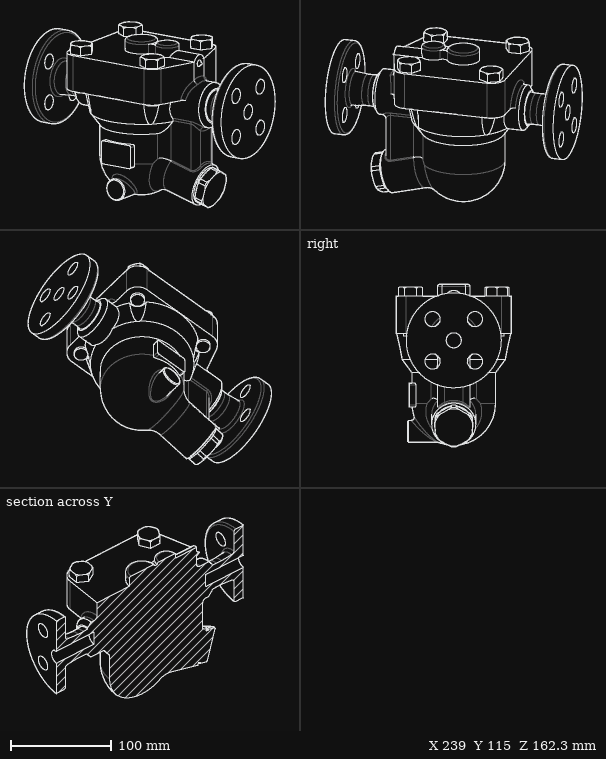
import cadquery as cq
import math


half_root = math.sqrt(0.5)
edge_margin = 0.2

inlet_face_x = -109.5
outlet_face_x = 129.5
flange_diameter = 95.0
flange_thickness = 12.0
flange_edge_radius = 2.2
flange_hole_diameter = 15.0
flange_hole_spacing = 42.3
bore_diameter = 15.0
bore_depth = 47.8
neck_base_radius = 19.5
neck_fillet = 3.3
neck_outer_radius = 17.0
neck_waist_radius = 15.8
neck_inner_radius = 16.3
neck_waist_start = 16.0
neck_waist_end = 22.5
neck_length = 28.0
hub_radius = 23.0
hub_start_radius = 17.7
hub_chamfer_length = 4.3
hub_blend_radius = 4.0

plate_top_z = 44.0
plate_bottom_z = 7.0
plate_width = 115.0
plate_corner_radius = 14.3
bolt_offset = plate_width / 2 - plate_corner_radius
nose_x = 70.0
nose_half_width = 8.8

bolt_flats = 21.0
bolt_head_height = 9.3
bolt_head_chamfer = 1.2
bolt_stub_diameter = 14.0
bolt_stub_length = 2.9
spotface_radius = 9.5

boss_top_z = 56.0
boss_radius = 16.3
small_boss_radius = 12.0
small_boss_x = 31.3
boss_edge_radius = 2.2
boss_web_drop = 2.5
boss_web_fillet = 4.8
ridge_axis_z = 40.9
plug_tip_radius = 3.3
plug_tip_length = 3.8

body_radius = 41.8
rim_radius = 57.1
shoulder_radius = 51.6
shoulder_z = -19.1
shoulder_bottom_z = -32.3
dome_z = -63.0

branch_angle = 15.0
branch_radius = 22.0
branch_length = 80.3
branch_blend_radius = 18.0
cap_neck_radius = 19.1
cap_gap = 2.2
cap_across_flats = 37.3
cap_across_corners = 40.9
cap_thickness = 9.5
cap_chamfer = 1.2

column_half_width = 16.0
column_end_x = 78.0
column_bottom_z = -74.0
column_edge_radius = 6.7
column_body_blend = 14.3
column_hub_blend = 4.3
column_branch_blend = 1.7

drain_z = -90.8
drain_radius = 11.0
drain_face_y = -46.0
drain_chamfer = 1.0
drain_blend = 2.9
pad_width = 35.5
pad_height = 24.0
pad_z = -54.7
pad_face_y = -44.5
pad_corner_radius = 2.0


def cylinder_z(radius, bottom, top, x=0, y=0):
    return cq.Workplane("XY", origin=(x, y, bottom)).circle(radius).extrude(top - bottom)


def pipe_end(face_x, inward):
    """Flange, neck and hub, running from the flange face to the body axis."""
    flange_back = flange_thickness
    hub_start = flange_back + neck_length
    rim = flange_diameter / 2
    arc_step = neck_fillet * (1 - half_root)
    base_drop = (neck_base_radius - neck_outer_radius) * (1 - half_root)
    profile = (
        cq.Workplane("XY")
        .lineTo(0, rim)
        .lineTo(flange_back, rim)
        .lineTo(flange_back, neck_base_radius)
        .threePointArc(
            (flange_back + arc_step, neck_outer_radius + base_drop),
            (flange_back + neck_fillet, neck_outer_radius),
        )
        .lineTo(flange_back + neck_waist_start, neck_waist_radius)
        .lineTo(flange_back + neck_waist_end, neck_waist_radius)
        .lineTo(hub_start, neck_inner_radius)
        .lineTo(hub_start, hub_start_radius)
        .lineTo(hub_start + hub_chamfer_length, hub_radius)
        .lineTo(abs(face_x), hub_radius)
        .lineTo(abs(face_x), 0)
        .close()
    )
    end = profile.revolve(360, (0, 0, 0), (1, 0, 0))
    end = end.edges(cq.selectors.RadiusNthSelector(-1)).edges(">X").fillet(flange_edge_radius)
    holes = (
        cq.Workplane("YZ")
        .rect(flange_hole_spacing, flange_hole_spacing, forConstruction=True)
        .vertices()
        .circle(flange_hole_diameter / 2)
        .extrude(flange_thickness)
    )
    end = end.cut(holes)
    if inward < 0:
        end = end.mirror("YZ")
    return end.translate((face_x, 0, 0))


def pipe_bore(face_x, inward):
    return cq.Workplane("YZ", origin=(face_x, 0, 0)).circle(bore_diameter / 2).extrude(inward * bore_depth)


def plate(bottom_z):
    """Square plate with rounded corners and a tapered nose on the outlet side."""
    radius = plate_corner_radius
    edge = bolt_offset + radius
    diagonal = radius * half_root
    run = nose_x - bolt_offset
    rise = nose_half_width - bolt_offset
    tangent_angle = math.atan2(rise, run) + math.acos(radius / math.hypot(run, rise))
    tangent = (bolt_offset + radius * math.cos(tangent_angle), bolt_offset + radius * math.sin(tangent_angle))
    middle_angle = (tangent_angle + math.pi / 2) / 2
    middle = (bolt_offset + radius * math.cos(middle_angle), bolt_offset + radius * math.sin(middle_angle))
    outline = (
        cq.Workplane("XY", origin=(0, 0, bottom_z))
        .moveTo(-edge, bolt_offset)
        .threePointArc((-bolt_offset - diagonal, bolt_offset + diagonal), (-bolt_offset, edge))
        .lineTo(bolt_offset, edge)
        .threePointArc(middle, tangent)
        .lineTo(nose_x, nose_half_width)
        .lineTo(nose_x, -nose_half_width)
        .lineTo(tangent[0], -tangent[1])
        .threePointArc((middle[0], -middle[1]), (bolt_offset, -edge))
        .lineTo(-bolt_offset, -edge)
        .threePointArc((-bolt_offset - diagonal, -bolt_offset - diagonal), (-edge, -bolt_offset))
        .close()
    )
    return outline.extrude(plate_top_z - bottom_z)


def hex_head(across_flats, across_corners, height, chamfer):
    """Hexagon with corners on X, turned to its corner diameter and chamfered on top."""
    sharp_corners = across_flats / math.cos(math.radians(30))
    head = cq.Workplane("XY").polygon(6, sharp_corners).extrude(height)
    turned = cq.Workplane("XY").circle(across_corners / 2).extrude(height).faces(">Z").chamfer(chamfer)
    return head.intersect(turned)


def body():
    """Tapered bowl with a domed bottom, relieved below the bolts."""
    profile = (
        cq.Workplane("XZ")
        .moveTo(0, plate_bottom_z)
        .lineTo(rim_radius, plate_bottom_z)
        .lineTo(shoulder_radius, shoulder_z)
        .lineTo(body_radius, shoulder_bottom_z)
        .lineTo(body_radius, dome_z)
        .threePointArc(
            (body_radius * half_root, dome_z - body_radius * half_root),
            (0, dome_z - body_radius),
        )
        .close()
    )
    bowl = profile.revolve(360, (0, 0, 0), (0, 1, 0))
    for x in (-bolt_offset, bolt_offset):
        for y in (-bolt_offset, bolt_offset):
            bowl = bowl.cut(cylinder_z(spotface_radius, shoulder_bottom_z, plate_bottom_z, x, y))
    return bowl


def bolts():
    """Heads on the cover and thread ends below the plate; neighbours differ by 30 degrees."""
    corners = bolt_flats / math.cos(math.radians(30))
    parts = []
    for x_side in (-1, 1):
        for y_side in (-1, 1):
            x = x_side * bolt_offset
            y = y_side * bolt_offset
            turn = 0 if x_side == y_side else 30
            head = hex_head(bolt_flats, corners, bolt_head_height, bolt_head_chamfer)
            parts.append(head.rotate((0, 0, 0), (0, 0, 1), turn).translate((x, y, plate_top_z)))
            stub_bottom = plate_bottom_z - bolt_stub_length
            parts.append(cylinder_z(bolt_stub_diameter / 2, stub_bottom, plate_bottom_z, x, y))
    return parts


def cover_bosses():
    """Two round bosses joined by a web, with a ridge running out to the nose."""
    web_top = boss_top_z - boss_web_drop
    big = cylinder_z(boss_radius, plate_top_z, boss_top_z)
    small = cylinder_z(small_boss_radius, plate_top_z, boss_top_z, small_boss_x)
    big = big.faces(">Z").edges().fillet(boss_edge_radius)
    small = small.faces(">Z").edges().fillet(boss_edge_radius)
    big_reach = boss_radius + boss_web_fillet
    small_reach = small_boss_radius + boss_web_fillet
    arc_x = (big_reach**2 - small_reach**2 + small_boss_x**2) / (2 * small_boss_x)
    arc_y = math.sqrt(big_reach**2 - arc_x**2)
    web = (
        cq.Workplane("XY", origin=(0, 0, plate_top_z))
        .polyline([(0, 0), (arc_x, arc_y), (small_boss_x, 0), (arc_x, -arc_y)])
        .close()
        .extrude(web_top - plate_top_z)
    )
    for y in (-arc_y, arc_y):
        web = web.cut(cylinder_z(boss_web_fillet, plate_top_z, web_top, arc_x, y))
    ridge = (
        cq.Workplane("YZ", origin=(small_boss_x, 0, ridge_axis_z))
        .circle(nose_half_width)
        .extrude(nose_x - small_boss_x)
    )
    tip = cq.Workplane(
        cq.Solid.makeCone(
            plug_tip_radius, 0, plug_tip_length,
            pnt=cq.Vector(nose_x, 0, ridge_axis_z), dir=cq.Vector(1, 0, 0),
        )
    )
    return big.union(small).union(web).union(ridge).union(tip)


def to_branch_axis(solid):
    """Turn a solid built along +Z at the origin onto the branch axis through the dome centre."""
    return solid.rotate((0, 0, 0), (0, 1, 0), 90 + branch_angle).translate((0, 0, dome_z))


def branch():
    """Round branch blended into the dome."""
    arc_radial = branch_radius + branch_blend_radius
    reach = body_radius + branch_blend_radius
    arc_axial = math.sqrt(reach**2 - arc_radial**2)
    share = body_radius / reach
    middle_angle = (math.atan2(-arc_radial, -arc_axial) - math.pi / 2) / 2
    middle = (
        arc_radial + branch_blend_radius * math.sin(middle_angle),
        arc_axial + branch_blend_radius * math.cos(middle_angle),
    )
    profile = (
        cq.Workplane("XZ")
        .lineTo(arc_radial * share, arc_axial * share)
        .threePointArc(middle, (branch_radius, arc_axial))
        .lineTo(branch_radius, branch_length)
        .lineTo(0, branch_length)
        .close()
    )
    return to_branch_axis(profile.revolve(360, (0, 0, 0), (0, 1, 0)))


def branch_cap():
    neck = cylinder_z(cap_neck_radius, 0, cap_gap)
    head = hex_head(cap_across_flats, cap_across_corners, cap_thickness, cap_chamfer)
    head = head.translate((0, 0, cap_gap))
    return to_branch_axis(neck.union(head).translate((0, 0, branch_length)))


def body_flare_centre():
    """Centre of the vertical arc tangent to the body and to one side of the column."""
    y = column_half_width + column_body_blend
    return math.sqrt((body_radius + column_body_blend) ** 2 - y**2), y


def column():
    """Upright web with rounded outer edges."""
    start_x = body_flare_centre()[0]
    return (
        cq.Workplane("XY", origin=((start_x + column_end_x) / 2, 0, column_bottom_z))
        .rect(column_end_x - start_x, 2 * column_half_width)
        .extrude(-column_bottom_z)
        .edges("|Z and >X")
        .fillet(column_edge_radius)
    )


def column_flare():
    """Concave flare carrying the column sides onto the round body."""
    arc_x, arc_y = body_flare_centre()
    share = body_radius / (body_radius + column_body_blend)
    flare = (
        cq.Workplane("XY", origin=(0, 0, dome_z))
        .polyline([
            (0, 0),
            (arc_x * share, -arc_y * share),
            (arc_x, -column_half_width),
            (arc_x, column_half_width),
            (arc_x * share, arc_y * share),
        ])
        .close()
        .extrude(-dome_z)
    )
    for y in (-arc_y, arc_y):
        flare = flare.cut(cylinder_z(column_body_blend, dome_z, 0, arc_x, y))
    return flare


def column_corner(bottom, top):
    """Picks the edges around the column foot or head between two heights."""
    start_x = body_flare_centre()[0]
    side = column_half_width + edge_margin
    return cq.selectors.BoxSelector(
        (start_x + edge_margin, -side, bottom),
        (column_end_x + edge_margin, side, top),
    )


def outlet_side():
    """Outlet pipe end, column and branch with rounded inner corners between them."""
    side = pipe_end(outlet_face_x, -1).union(column()).union(branch())
    side = side.edges(column_corner(-hub_radius, -hub_radius / 3)).fillet(column_hub_blend)
    return side.edges(column_corner(column_bottom_z, pad_z)).fillet(column_branch_blend)


def drain_boss():
    boss = cq.Workplane("XZ", origin=(0, 0, drain_z)).circle(drain_radius).extrude(-drain_face_y)
    return boss.faces("<Y").chamfer(drain_chamfer)


def body_with_drain():
    """Body and drain boss with a rounded inner corner between them."""
    joined = body().union(drain_boss())
    corner = cq.selectors.BoxSelector(
        (-drain_radius / 2, drain_face_y + drain_radius, drain_z - drain_radius),
        (drain_radius / 2, drain_face_y / 2, drain_z + drain_radius),
    )
    return joined.edges(corner).fillet(drain_blend)


def name_pad():
    return (
        cq.Workplane("XZ", origin=(0, 0, pad_z))
        .rect(pad_width, pad_height)
        .extrude(-pad_face_y)
        .edges("|Y")
        .fillet(pad_corner_radius)
    )


def plate_with_hubs():
    """Plate blended into both pipe hubs, cut level with the plate bottom."""
    hub_offset = flange_thickness + neck_length + hub_chamfer_length
    inlet_end = inlet_face_x + hub_offset
    outlet_end = outlet_face_x - hub_offset
    hubs = cq.Workplane("YZ", origin=(inlet_end, 0, 0)).circle(hub_radius).extrude(outlet_end - inlet_end)
    deep_bottom = -2 * hub_radius
    joined = plate(deep_bottom).union(hubs)
    reach = hub_radius + edge_margin
    for start, end in ((inlet_end + edge_margin, 0), (bolt_offset, outlet_end - edge_margin)):
        corner = cq.selectors.BoxSelector((start, -reach, -reach), (end, reach, reach), boundingbox=True)
        joined = joined.edges(corner).fillet(hub_blend_radius)
    below = cylinder_z(outlet_face_x, deep_bottom, plate_bottom_z)
    return joined.cut(below)


result = (
    body_with_drain()
    .union(pipe_end(inlet_face_x, 1))
    .union(outlet_side())
    .union(column_flare())
    .union(branch_cap())
    .union(plate_with_hubs())
    .union(name_pad())
    .union(cover_bosses())
    .cut(pipe_bore(inlet_face_x, 1))
    .cut(pipe_bore(outlet_face_x, -1))
)
for bolt_part in bolts():
    result = result.union(bolt_part)
result = cq.Workplane(result.solids().val())